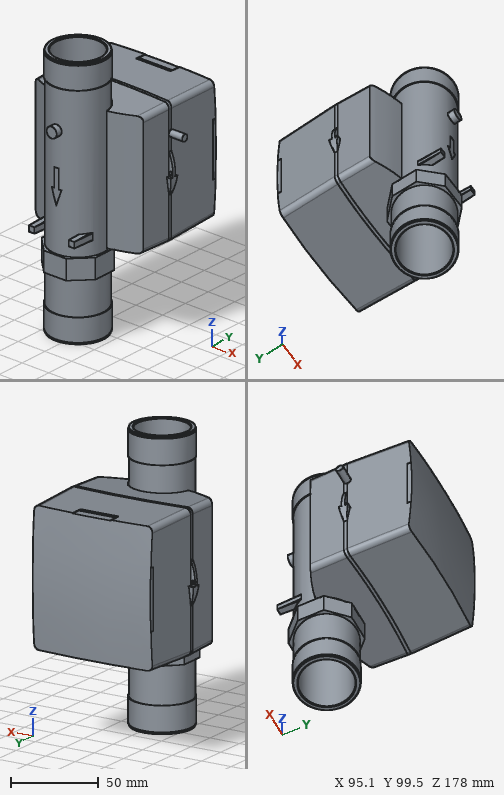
import cadquery as cq
import math


pipe_length = 178.0
pipe_radius = 19.0
bore_radius = 16.4
bore_chamfer = 0.5
collar_radius = 19.5
collar_length = 17.3
collar_chamfer = 1.5
nut_bottom = 41.3
nut_height = 13.9
nut_across_flats = 40.4
nut_sides = 8
front_reach = 23.1

button_radius = 3.7
button_height = 133.5

pin_width = 4.1
pin_spacing = 29.9
pin_height = 67.5
pin_root_y = -5.3
pin_draft = 2.0

pipe_arrow_top = 109.8
pipe_arrow_neck = 96.5
pipe_arrow_tip = 85.8
pipe_arrow_shaft_width = 3.4
pipe_arrow_head_width = 7.3
pipe_arrow_relief = 0.09

housing_width = 82.2
housing_height = 88.5
housing_mid_z = 100.4
housing_back = 76.4
housing_draft = 1.5
edge_radius = 3.5
crown_radius = 453.9
front_arc_radius = 89.0
front_arc_y = 0.4
saddle_radius = collar_radius

band_back = 35.8
band_width = 2.1
crown_sag = crown_radius - math.sqrt(crown_radius**2 - (housing_width / 2) ** 2)
band_front = band_back - band_width
band_side_back = band_back - crown_sag
band_side_mid = band_side_back - band_width / 2

recess_depth = 0.2
recess_step = 2.0
top_recess_width = 25.6
top_recess_front = 66.2
side_recess_height = 38.1
side_recess_front = 71.7

lug_reach = 44.1
lug_length = 27.5
lug_root_depth = 0.9
lug_neck_z = 98.6
lug_head_width = 5.9
eyelet_radius = 1.0
eyelet_x = 42.4
eyelet_z = 100.7

cable_radius = 2.3
cable_end = 51.0
cable_y = 34.0
cable_height = 125.1


def z_cylinder(radius, x, y, bottom, height):
    return cq.Workplane("XY", origin=(x, y, bottom)).circle(radius).extrude(height)


def box(x0, x1, y0, y1, z0, z1):
    return cq.Workplane("XY", origin=(x0, y0, z0)).box(x1 - x0, y1 - y0, z1 - z0, centered=False)


def front_plane(x, y, z):
    """Plane at the given point that faces -Y, with its x along +X and its y along +Z."""
    return cq.Workplane("XZ", origin=(x, y, z))


def arrow_points(shaft_width, head_width, top, neck, tip, tip_width=0.0):
    """Outline of an arrow that points down."""
    right = [(shaft_width / 2, top), (shaft_width / 2, neck), (head_width / 2, neck), (tip_width / 2, tip)]
    left = [(-u, v) for u, v in reversed(right)]
    return right + (left if tip_width else left[1:])




def make_collar(bottom, end_face):
    collar = z_cylinder(collar_radius, 0, 0, bottom, collar_length)
    return collar.faces(end_face).chamfer(collar_chamfer)


def make_nut():
    corner_diameter = nut_across_flats / math.cos(math.pi / nut_sides)
    half_step = 360 / nut_sides / 2
    outline = cq.Workplane("XY", origin=(0, 0, nut_bottom)).polygon(nut_sides, corner_diameter)
    nut = outline.extrude(nut_height)
    return nut.rotate((0, 0, 0), (0, 0, 1), half_step)


def make_button():
    return front_plane(0, 0, button_height).circle(button_radius).extrude(front_reach)


def make_pin(x):
    """Square pin that widens from its tip to its root."""
    tip = cq.Workplane("ZX", origin=(x, -front_reach, pin_height)).rect(pin_width, pin_width)
    return tip.extrude(front_reach + pin_root_y, taper=-pin_draft)


def make_pipe_arrow():
    """Thin raised arrow that follows the pipe surface."""
    outline = arrow_points(
        pipe_arrow_shaft_width, pipe_arrow_head_width, pipe_arrow_top, pipe_arrow_neck, pipe_arrow_tip
    )
    prism = front_plane(0, 0, 0).polyline(outline).close().extrude(front_reach)
    return prism.intersect(z_cylinder(pipe_radius + pipe_arrow_relief, 0, 0, 0, pipe_length))


def make_bore_mouth(end_z):
    """Cone that chamfers the bore at one end of the pipe."""
    inward = -1 if end_z > 0 else 1
    mouth = cq.Solid.makeCone(
        bore_radius + bore_chamfer,
        bore_radius,
        bore_chamfer,
        pnt=cq.Vector(0, 0, end_z),
        dir=cq.Vector(0, 0, inward),
    )
    return cq.Workplane(mouth)


def make_pipe():
    pipe = z_cylinder(pipe_radius, 0, 0, 0, pipe_length)
    pipe = pipe.union(make_collar(0, "<Z")).union(make_collar(pipe_length - collar_length, ">Z"))
    pipe = pipe.union(make_nut()).union(make_button()).union(make_pipe_arrow())
    for side in (-1, 1):
        pipe = pipe.union(make_pin(side * pin_spacing / 2))
    bore = z_cylinder(bore_radius, 0, 0, 0, pipe_length)
    return pipe.cut(bore).cut(make_bore_mouth(0)).cut(make_bore_mouth(pipe_length))




def make_block(start_y, end_y, draft):
    """Rounded block that narrows by the draft from start_y to end_y."""
    plane = "ZX" if end_y > start_y else "XZ"
    size = (housing_height, housing_width) if plane == "ZX" else (housing_width, housing_height)
    block = cq.Workplane(plane, origin=(0, start_y, housing_mid_z)).rect(*size)
    block = block.extrude(abs(end_y - start_y), taper=draft)
    return block.edges("not #Y").fillet(edge_radius)


def front_of_arc(apex_y):
    """Everything in front of a crowned parting surface."""
    return z_cylinder(crown_radius, 0, apex_y - crown_radius, 0, pipe_length)


def make_lug(side):
    """Arrow on the side of the housing, with a rounded outline and an eyelet for a seal wire."""
    root = housing_width / 2 - lug_root_depth
    chord_x = housing_width / 2
    low = housing_mid_z - lug_length / 2
    high = housing_mid_z + lug_length / 2
    profile = (
        cq.Workplane("XZ", origin=(0, band_side_mid + lug_head_width / 2, 0))
        .moveTo(root, low)
        .lineTo(chord_x, low)
        .threePointArc((lug_reach, housing_mid_z), (chord_x, high))
        .lineTo(root, high)
        .close()
        .extrude(lug_head_width)
    )
    outline = arrow_points(band_width, lug_head_width, high, lug_neck_z, low, band_width)
    arrow = cq.Workplane("YZ", origin=(0, band_side_mid, 0)).polyline(outline).close().extrude(lug_reach)
    eyelet = front_plane(eyelet_x, housing_back, eyelet_z).circle(eyelet_radius).extrude(housing_back)
    lug = profile.intersect(arrow).cut(eyelet)
    return lug if side > 0 else lug.mirror("YZ")


def make_cable():
    start = housing_width / 2 - lug_root_depth
    plane = cq.Workplane("YZ", origin=(start, cable_y, cable_height))
    return plane.circle(cable_radius).extrude(cable_end - start)


def make_base():
    base = make_block(band_front, 0, housing_draft)
    base = base.intersect(front_of_arc(band_front))
    band = make_block(band_front - 2 * crown_sag, band_back, 0)
    band = band.intersect(front_of_arc(band_back)).cut(front_of_arc(band_front))
    base = base.union(band)
    front_shape = z_cylinder(front_arc_radius, 0, front_arc_y + front_arc_radius, 0, pipe_length)
    base = base.intersect(front_shape)
    base = base.cut(z_cylinder(saddle_radius, 0, 0, 0, pipe_length))
    for side in (-1, 1):
        base = base.union(make_lug(side))
    return base.union(make_cable())


def cut_top_recess(cover):
    """Two-step recess in the middle of the top back edge."""
    top = housing_mid_z + housing_height / 2
    half = top_recess_width / 2
    rise = math.tan(math.radians(housing_draft))
    for step in (0, 1):
        front = top_recess_front + step * recess_step
        floor = top - (front - band_side_back) * rise - (step + 1) * recess_depth
        tool = box(-half, half, front, housing_back + recess_step, floor, top + recess_step)
        cover = cover.cut(tool.rotate((0, front, floor), (1, front, floor), -housing_draft))
    return cover


def cut_side_recess(cover, side):
    """Narrow recess along the back edge of one side."""
    half = side_recess_height / 2
    rise = math.tan(math.radians(housing_draft))
    floor = housing_width / 2 - (side_recess_front - band_side_back) * rise - recess_depth
    low = housing_mid_z - half
    high = housing_mid_z + half
    tool = box(floor, housing_width, side_recess_front, housing_back + recess_step, low, high)
    tool = tool.rotate((floor, side_recess_front, 0), (floor, side_recess_front, 1), housing_draft)
    return cover.cut(tool if side > 0 else tool.mirror("YZ"))


def make_cover():
    cover = make_block(band_side_back, housing_back, housing_draft)
    crown = cq.Workplane("XY", origin=(0, housing_back - crown_radius, housing_mid_z)).sphere(crown_radius)
    cover = cover.intersect(crown).cut(front_of_arc(band_back))
    cover = cut_top_recess(cover)
    for side in (-1, 1):
        cover = cut_side_recess(cover, side)
        cover = cover.cut(make_lug(side))
    return cover.cut(make_cable())


pipe = make_pipe()
housing_base = make_base()
housing_cover = make_cover()

result = cq.Compound.makeCompound(
    [
        *pipe.solids().vals(),
        *housing_base.solids().vals(),
        *housing_cover.solids().vals(),
    ]
)